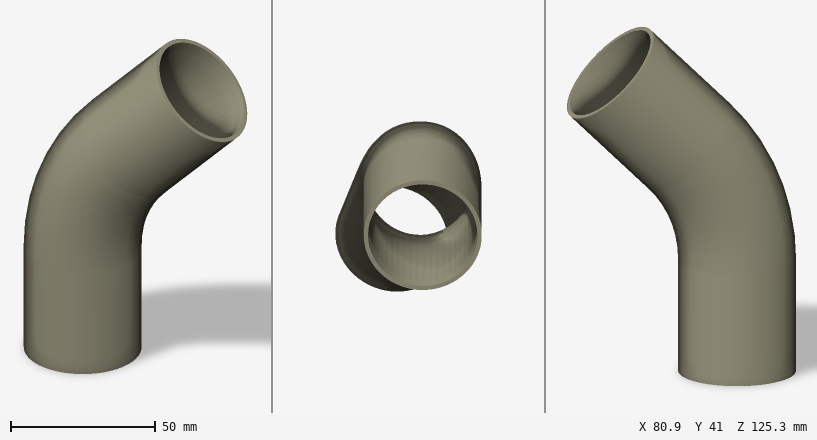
import cadquery as cq
import math

total_height = 125.3
outer_diameter = 41.0
inner_diameter = 38.0
bend_radius = 60.0
bend_angle = 45.0
upper_leg = 40.1

bend_sine = math.sin(math.radians(bend_angle))
bend_cosine = math.cos(math.radians(bend_angle))
bend_and_upper_height = (bend_radius + outer_diameter / 2) * bend_sine + upper_leg * bend_cosine
lower_leg = total_height - bend_and_upper_height


def bend_point(angle):
    """Point on the bend centreline, as (X, Z), after turning by angle degrees."""
    turn = math.radians(angle)
    return (
        bend_radius * (1 - math.cos(turn)),
        lower_leg + bend_radius * math.sin(turn),
    )


bend_middle = bend_point(bend_angle / 2)
bend_end = bend_point(bend_angle)
pipe_end = (
    bend_end[0] + upper_leg * bend_sine,
    bend_end[1] + upper_leg * bend_cosine,
)
centreline = (
    cq.Workplane("XZ")
    .lineTo(0, lower_leg)
    .threePointArc(bend_middle, bend_end)
    .lineTo(*pipe_end)
)

pipe_section = cq.Workplane("XY").circle(outer_diameter / 2).circle(inner_diameter / 2)
result = pipe_section.sweep(centreline)